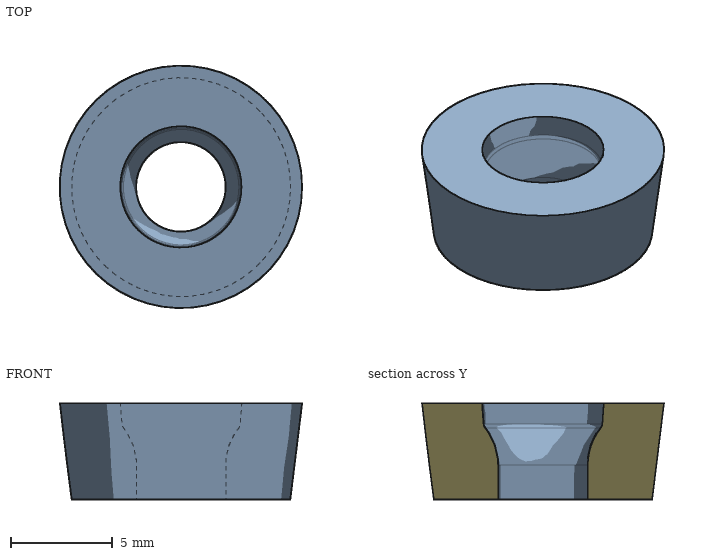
import cadquery as cq
import math

top_diameter = 11.95
height = 4.76
clearance_angle = 7.0

mouth_diameter = 5.98
mouth_floor_diameter = 5.83
mouth_depth = 1.03
blend_depth = 0.18
seat_diameter = 5.69
seat_depth = 1.84
bore_diameter = 4.4

top_radius = top_diameter / 2
bottom_radius = top_radius - height * math.tan(math.radians(clearance_angle))
mouth_radius = mouth_diameter / 2
mouth_floor_radius = mouth_floor_diameter / 2
seat_radius = seat_diameter / 2
bore_radius = bore_diameter / 2

mouth_floor_z = height - mouth_depth
seat_top_z = mouth_floor_z - blend_depth
seat_bottom_z = seat_top_z - seat_depth

section = (
    cq.Workplane("XZ")
    .moveTo(bore_radius, 0)
    .lineTo(bore_radius, seat_bottom_z)
    .tangentArcPoint((seat_radius, seat_top_z), relative=False)
    .tangentArcPoint((mouth_floor_radius, mouth_floor_z), relative=False)
    .lineTo(mouth_radius, height)
    .lineTo(top_radius, height)
    .lineTo(bottom_radius, 0)
    .close()
)

result = section.revolve(360, (0, 0, 0), (0, 1, 0))